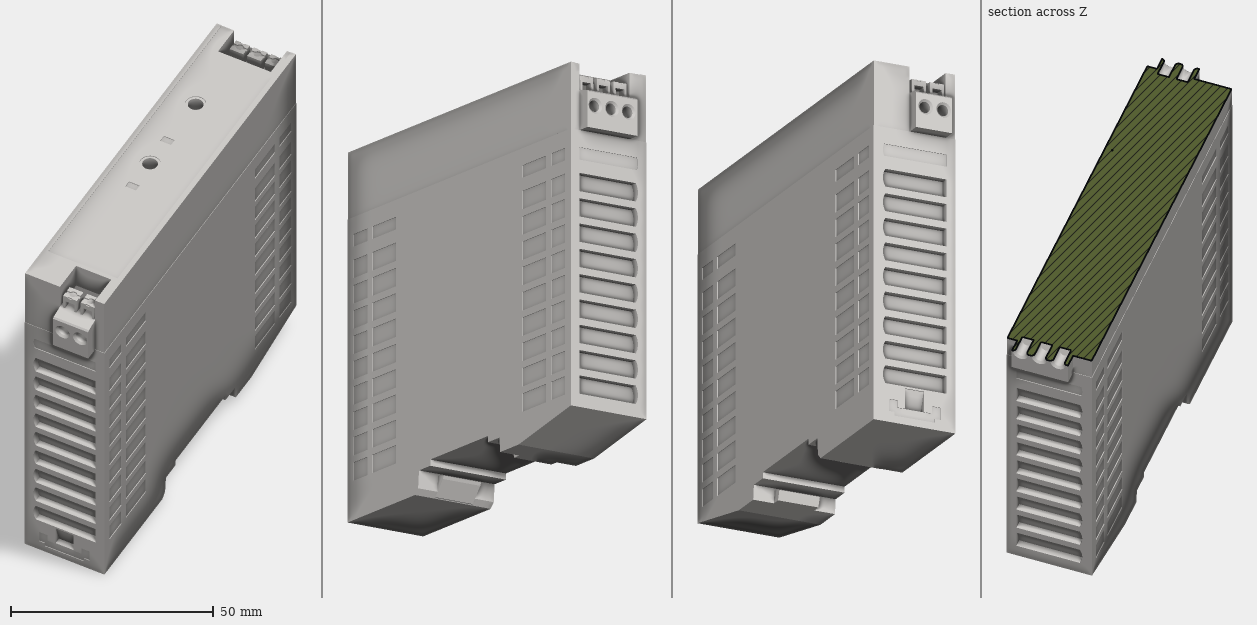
import cadquery as cq
import math

WIDTH = 22.5
HOUSING_LENGTH = 99.0
OVERALL_LENGTH = 106.0
HEIGHT = 95.0
SEAM_Z = 77.8
COVER_STEP = 0.1

LEFT = -WIDTH / 2
HALF_LENGTH = HOUSING_LENGTH / 2
FRONT = -HALF_LENGTH

RAIL_ROOF_Z = 7.5
RAIL_LEDGE_Z = 5.9
RAIL_ROOF_HALF = 12.8
RAIL_LEDGE_HALF = 17.8
REAR_FOOT_Z = 2.1
REAR_FOOT_START = 26.3
REAR_SLOPE_Z = 6.7
FOOT_DRAFT = 0.4
FRONT_FOOT_CHAMFER = 1.4

HOOK_WIDTH = 11.1
HOOK_ROOT = 19.5
HOOK_TOP_Z = 5.4
REAR_HOOK_HEEL = 15.9
REAR_HOOK_TIP = 15.1
REAR_HOOK_TIP_Z = 4.6
FRONT_HOOK_BOTTOM_Z = 0.2
FRONT_HOOK_HEEL = 19.0
FRONT_HOOK_NOSE = 15.7
FRONT_HOOK_NOSE_Z = 4.1
FRONT_HOOK_TIP = 15.3
FRONT_HOOK_TIP_Z = 4.9
FRONT_HOOK_SHOULDER = 17.2

VENT_PITCH = 6.5
VENT_COUNT = 9
VENT_BOTTOM_Z = 10.1
VENT_HEIGHT = 4.7
TOP_VENT_BOTTOM_Z = 70.2
TOP_VENT_HEIGHT = 3.2
VENT_LEFT = LEFT + 2.55
VENT_RIGHT = LEFT + 19.95
VENT_END_RADIUS = 4.6
VENT_DEPTH = 2.0
SIDE_WINDOWS = ((2.65, 6.15), (11.05, 10.35))
SHALLOW = 0.2

SLIDER_WIDTH = 14.2
SLIDER_FOOT_WIDTH = 11.1
SLIDER_INNER_WIDTH = 9.5
SLIDER_TOP_Z = 6.1
SLIDER_BAR_Z = 4.2
SLIDER_STEP_Z = 2.9
SLIDER_BOTTOM_Z = 1.9
LATCH_WIDTH = 5.2
LATCH_TOP_Z = 9.6
LATCH_TOP_DEPTH = 0.3
LATCH_DEPTH = 2.0

PANEL_MARGIN = 1.5
PANEL_FRONT = -40.0
PANEL_DEPTH = 0.1
CONTROL_X = -2.4
ADJUSTER_YS = (22.5, -1.0)
ADJUSTER_RIM = 5.2
ADJUSTER_BORE = 3.9
ADJUSTER_DEPTH = 4.0
CROSS_LENGTH = 2.6
CROSS_WIDTH = 0.9
CROSS_DEPTH = 0.4
LAMP_YS = (8.0, -10.0)
LAMP_LENGTH = 3.0
LAMP_WIDTH = 1.9

FRONT_CELLS = 2
REAR_CELLS = 3
CELL_PITCH = 4.95
POCKET_RIGHT = LEFT + 19.85
LAST_POST_X = LEFT + 17.55
POCKET_DEPTH = 8.4
POCKET_FLOOR_Z = 88.1
NOSE_SLOPE_DROP = 0.7
NOSE_CHAMFER = 0.4
POST_WIDTH = 3.85
POST_LENGTH = 3.6
POST_TOP_Z = 92.0
POST_LEAN = 0.2
POST_GAP = 0.1
POST_WINDOW_WIDTH = 2.6
POST_WINDOW_TOP_Z = 90.4
POST_WINDOW_DEPTH = 2.5
SCREW_DIAMETER = 1.9
SCREW_SLOT = 0.8
NOTCH_WIDTH = 1.1
NOTCH_LENGTH = 0.4
SCREW_DEPTH = 0.4
WIRE_HOLE_Z = 83.6
WIRE_RIM = 4.0
WIRE_BORE = 2.9
WIRE_DEPTH = 6.0
WIRE_FLOOR_ANGLE = 30


def box(x0, x1, y0, y1, z0, z1):
    """Box between two corners."""
    return cq.Workplane("XY").box(x1 - x0, y1 - y0, z1 - z0, centered=False).translate((x0, y0, z0))


def side_profile(points, x0, x1):
    """Polygon of (y, z) points swept from x0 to x1."""
    return cq.Workplane("YZ").polyline(points).close().extrude(x1 - x0).translate((x0, 0, 0))


def other_end(solid):
    """Mirror a feature of the front end to the rear end."""
    return solid.mirror("XZ")


def housing():
    shell = side_profile(
        [
            (FRONT, 0),
            (-RAIL_LEDGE_HALF - FOOT_DRAFT - FRONT_FOOT_CHAMFER, 0),
            (-RAIL_LEDGE_HALF - FOOT_DRAFT, FRONT_FOOT_CHAMFER),
            (-RAIL_LEDGE_HALF, RAIL_LEDGE_Z),
            (-RAIL_ROOF_HALF, RAIL_LEDGE_Z),
            (-RAIL_ROOF_HALF, RAIL_ROOF_Z),
            (RAIL_ROOF_HALF, RAIL_ROOF_Z),
            (RAIL_ROOF_HALF, RAIL_LEDGE_Z),
            (RAIL_LEDGE_HALF, RAIL_LEDGE_Z),
            (RAIL_LEDGE_HALF + FOOT_DRAFT, REAR_FOOT_Z),
            (REAR_FOOT_START, REAR_FOOT_Z),
            (HALF_LENGTH, REAR_SLOPE_Z),
            (HALF_LENGTH, SEAM_Z),
            (FRONT, SEAM_Z),
        ],
        LEFT,
        -LEFT,
    )
    cover_x = WIDTH / 2 - COVER_STEP
    cover_y = HALF_LENGTH - COVER_STEP
    cover = box(-cover_x, cover_x, -cover_y, cover_y, SEAM_Z, HEIGHT)
    return shell.union(cover)


def rail_hooks():
    """Two clip hooks reaching under the rail, rooted in the feet."""
    rear = [
        (HOOK_ROOT, REAR_FOOT_Z),
        (REAR_HOOK_HEEL, REAR_FOOT_Z),
        (REAR_HOOK_TIP, REAR_HOOK_TIP_Z),
        (RAIL_LEDGE_HALF, HOOK_TOP_Z),
        (HOOK_ROOT, HOOK_TOP_Z),
    ]
    front = [
        (-HOOK_ROOT, FRONT_HOOK_BOTTOM_Z),
        (-FRONT_HOOK_HEEL, FRONT_HOOK_BOTTOM_Z),
        (-FRONT_HOOK_NOSE, FRONT_HOOK_NOSE_Z),
        (-FRONT_HOOK_TIP, FRONT_HOOK_TIP_Z),
        (-FRONT_HOOK_SHOULDER, HOOK_TOP_Z),
        (-HOOK_ROOT, HOOK_TOP_Z),
    ]
    half = HOOK_WIDTH / 2
    return side_profile(rear, -half, half).union(side_profile(front, -half, half))


def vent(bottom, height, depth):
    """Front slot: straight right end, bowed left end."""
    bow = VENT_END_RADIUS - math.sqrt(VENT_END_RADIUS**2 - (height / 2) ** 2)
    return (
        cq.Workplane("XZ", origin=(0, FRONT, 0))
        .moveTo(VENT_RIGHT, bottom)
        .lineTo(VENT_RIGHT, bottom + height)
        .lineTo(VENT_LEFT + bow, bottom + height)
        .threePointArc((VENT_LEFT, bottom + height / 2), (VENT_LEFT + bow, bottom))
        .close()
        .extrude(-depth)
    )


def vent_row(bottom, height, depth):
    """Slots on both end faces and shallow windows on both sides at one level."""
    end_slot = vent(bottom, height, depth)
    row = end_slot.union(other_end(end_slot))
    for margin, length in SIDE_WINDOWS:
        start = FRONT + margin
        window = box(LEFT, LEFT + SHALLOW, start, start + length, bottom, bottom + height)
        window = window.union(window.mirror("YZ"))
        row = row.union(window).union(other_end(window))
    return row


def slider_recess():
    """U-shaped outline of the clip slider with the slanted latch opening above it."""
    outline = [
        (SLIDER_WIDTH / 2, SLIDER_TOP_Z),
        (SLIDER_WIDTH / 2, SLIDER_STEP_Z),
        (SLIDER_FOOT_WIDTH / 2, SLIDER_STEP_Z),
        (SLIDER_FOOT_WIDTH / 2, SLIDER_BOTTOM_Z),
    ]
    inner = [(SLIDER_INNER_WIDTH / 2, SLIDER_BAR_Z), (SLIDER_INNER_WIDTH / 2, SLIDER_TOP_Z)]
    right = inner + outline
    left = [(-x, z) for x, z in reversed(right)]
    u_shape = cq.Workplane("XZ", origin=(0, FRONT, 0)).polyline(right + left).close().extrude(-SHALLOW)
    latch = side_profile(
        [
            (FRONT, SLIDER_BAR_Z),
            (FRONT + LATCH_DEPTH, SLIDER_BAR_Z),
            (FRONT + LATCH_TOP_DEPTH, LATCH_TOP_Z),
            (FRONT, LATCH_TOP_Z),
        ],
        -LATCH_WIDTH / 2,
        LATCH_WIDTH / 2,
    )
    return u_shape.union(latch)


def top_panel():
    """Shallow label recess in the top face."""
    edge = WIDTH / 2 - PANEL_MARGIN
    return box(-edge, edge, PANEL_FRONT, HALF_LENGTH, HEIGHT - PANEL_DEPTH, HEIGHT)


def panel_controls():
    """Recesses for the adjusters, with a cross slot at the bottom, and for the lamps."""
    surface = HEIGHT - PANEL_DEPTH
    bottom = surface - ADJUSTER_DEPTH
    adjusters = cq.Workplane("XY", origin=(CONTROL_X, 0, 0)).pushPoints([(0, y) for y in ADJUSTER_YS])
    rim = adjusters.circle(ADJUSTER_RIM / 2).extrude(SHALLOW).translate((0, 0, surface - SHALLOW))
    bore = adjusters.circle(ADJUSTER_BORE / 2).extrude(ADJUSTER_DEPTH).translate((0, 0, bottom))
    slot_floor = bottom - CROSS_DEPTH
    slot_x = adjusters.rect(CROSS_LENGTH, CROSS_WIDTH).extrude(CROSS_DEPTH).translate((0, 0, slot_floor))
    slot_y = adjusters.rect(CROSS_WIDTH, CROSS_LENGTH).extrude(CROSS_DEPTH).translate((0, 0, slot_floor))
    lamps = (
        cq.Workplane("XY", origin=(CONTROL_X, 0, surface - SHALLOW))
        .pushPoints([(0, y) for y in LAMP_YS])
        .rect(LAMP_LENGTH, LAMP_WIDTH)
        .extrude(SHALLOW)
    )
    return rim.union(bore).union(slot_x).union(slot_y).union(lamps)


def post(x):
    """Screw clamp of one terminal cell."""
    outer = FRONT + COVER_STEP + POST_GAP
    inner = outer + POST_LENGTH
    half = POST_WIDTH / 2
    mid_y = (outer + inner) / 2
    slot_z = POST_TOP_Z - SCREW_DEPTH
    body = side_profile(
        [
            (outer, POCKET_FLOOR_Z),
            (inner, POCKET_FLOOR_Z),
            (inner, POST_TOP_Z),
            (outer + POST_LEAN, POST_TOP_Z),
        ],
        x - half,
        x + half,
    )
    half_window = POST_WINDOW_WIDTH / 2
    window = box(
        x - half_window, x + half_window, outer, outer + POST_WINDOW_DEPTH, POCKET_FLOOR_Z, POST_WINDOW_TOP_Z
    )
    screw = cq.Workplane("XY", origin=(x, mid_y, slot_z)).circle(SCREW_DIAMETER / 2).extrude(SCREW_DEPTH)
    slot = box(x - half, x + half, mid_y - SCREW_SLOT / 2, mid_y + SCREW_SLOT / 2, slot_z, POST_TOP_Z)
    notch = box(x - NOTCH_WIDTH / 2, x + NOTCH_WIDTH / 2, outer, outer + NOTCH_LENGTH, slot_z, POST_TOP_Z)
    return body.cut(window).cut(screw).cut(slot).cut(notch)


def wire_hole(x):
    """Countersunk wire entry in the nose."""
    nose_face = -OVERALL_LENGTH / 2
    rim_depth = (WIRE_RIM - WIRE_BORE) / 2
    entry = cq.Workplane("XZ", origin=(x, nose_face, WIRE_HOLE_Z))
    bore = entry.circle(WIRE_BORE / 2).extrude(-WIRE_DEPTH)
    countersink = cq.Workplane(
        cq.Solid.makeCone(
            WIRE_RIM / 2, WIRE_BORE / 2, rim_depth, cq.Vector(x, nose_face, WIRE_HOLE_Z), cq.Vector(0, 1, 0)
        )
    )
    lowest_depth = WIRE_DEPTH - WIRE_BORE * math.tan(math.radians(WIRE_FLOOR_ANGLE))
    low_z = WIRE_HOLE_Z - WIRE_BORE / 2
    high_z = WIRE_HOLE_Z + WIRE_BORE / 2
    limit = side_profile(
        [
            (nose_face, low_z),
            (nose_face + lowest_depth, low_z),
            (nose_face + WIRE_DEPTH, high_z),
            (nose_face, high_z),
        ],
        x - WIRE_BORE / 2,
        x + WIRE_BORE / 2,
    )
    return bore.intersect(limit).union(countersink)


def add_terminal(body, cells, at_rear):
    """Cut the pocket of a terminal and add its nose and screw clamps."""
    left = POCKET_RIGHT - cells * CELL_PITCH
    pocket = box(left, POCKET_RIGHT, FRONT, FRONT + POCKET_DEPTH, POCKET_FLOOR_Z, HEIGHT)
    tip = -OVERALL_LENGTH / 2
    shoulder_z = POCKET_FLOOR_Z - NOSE_SLOPE_DROP
    terminal = side_profile(
        [
            (FRONT + POCKET_DEPTH, SEAM_Z),
            (tip, SEAM_Z),
            (tip, shoulder_z - NOSE_CHAMFER),
            (tip + NOSE_CHAMFER, shoulder_z),
            (FRONT + COVER_STEP, POCKET_FLOOR_Z),
            (FRONT + POCKET_DEPTH, POCKET_FLOOR_Z),
        ],
        left,
        POCKET_RIGHT,
    )
    holes = cq.Workplane("XY")
    for cell in range(cells):
        x = LAST_POST_X - cell * CELL_PITCH
        terminal = terminal.union(post(x))
        holes = holes.add(wire_hole(x))
    holes = holes.combine()
    if at_rear:
        pocket = other_end(pocket)
        terminal = other_end(terminal)
        holes = other_end(holes)
    return body.cut(pocket).union(terminal).cut(holes)


result = housing().union(rail_hooks())
for level in range(VENT_COUNT):
    result = result.cut(vent_row(VENT_BOTTOM_Z + level * VENT_PITCH, VENT_HEIGHT, VENT_DEPTH))
result = result.cut(vent_row(TOP_VENT_BOTTOM_Z, TOP_VENT_HEIGHT, SHALLOW))
result = result.cut(slider_recess())
result = result.cut(top_panel())
result = result.cut(panel_controls())
result = add_terminal(result, FRONT_CELLS, at_rear=False)
result = add_terminal(result, REAR_CELLS, at_rear=True)